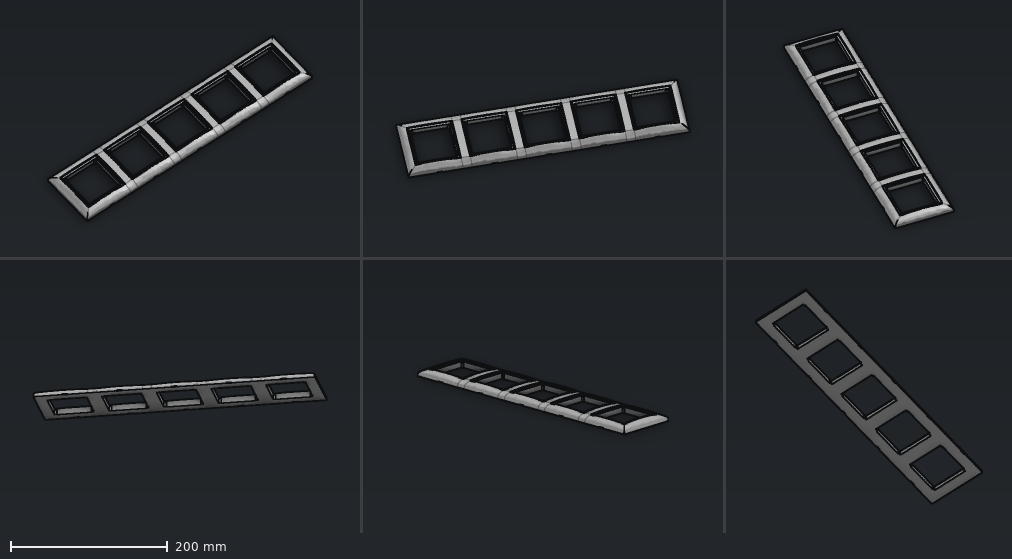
import cadquery as cq

MODULE_COUNT = 5
WIDTH = 82.0
LENGTH = 366.0
PITCH = (LENGTH - WIDTH) / (MODULE_COUNT - 1)
CORNER_RADIUS = 1.5

CORNER_HEIGHT = 9.5
CREST_HEIGHT = 10.5
LIP_CORNER_HEIGHT = 9.0
LIP_CREST_HEIGHT = 11.0
LEDGE_HEIGHT = 8.5

BRIDGE_WIDTH = 11.7
RECESS_X = 58.5
RECESS_Y = PITCH - BRIDGE_WIDTH
OPENING = 51.2
LIP_GAP = 0.7
LIP_THICKNESS = 1.0

WALL_CONTROL_HEIGHT = 3.5
SHOULDER_CONTROL_HEIGHT = 6.0
CROWN_CONTROL_SHARE = 0.4
CROWN_CONTROL_DROP = 1.0

NOTCH_WIDTH = 6.5
NOTCH_HEIGHT = 1.0
NOTCH_DEPTH = 0.7
TAB_WIDTH = 1.0
TAB_LENGTH = 3.3
TAB_HEIGHT = 6.5

HALF_WIDTH = WIDTH / 2
HALF_LENGTH = LENGTH / 2
HALF_RECESS_X = RECESS_X / 2
HALF_RECESS_Y = RECESS_Y / 2
MODULE_CENTRES = [(i - (MODULE_COUNT - 1) / 2) * PITCH for i in range(MODULE_COUNT)]
BRIDGE_CENTRES = [y + PITCH / 2 for y in MODULE_CENTRES[:-1]]


def rail_curve(outer, inner, inner_height):
    """Curve from the foot of the outer wall up to the inner edge, between two plan points."""
    outer_foot = cq.Vector(*outer)
    across = cq.Vector(*inner) - outer_foot
    share_and_height = [
        (0, 0),
        (0, WALL_CONTROL_HEIGHT),
        (0, SHOULDER_CONTROL_HEIGHT),
        (CROWN_CONTROL_SHARE, inner_height - CROWN_CONTROL_DROP),
        (1, inner_height),
    ]
    return cq.Edge.makeBezier([
        outer_foot + across * share + cq.Vector(0, 0, height) for share, height in share_and_height
    ])


def rail_section(outer, inner, inner_height):
    """Closed upright section of a rail between two plan points."""
    curve = rail_curve(outer, inner, inner_height)
    inner_foot = cq.Vector(*inner)
    return cq.Wire.assembleEdges([
        curve,
        cq.Edge.makeLine(curve.endPoint(), inner_foot),
        cq.Edge.makeLine(inner_foot, curve.startPoint()),
    ])


def rail(start, middle, end):
    """Rail through three (outer, inner) plan sections, highest at the middle one."""
    return cq.Workplane(cq.Solid.makeLoft([
        rail_section(*start, CORNER_HEIGHT),
        rail_section(*middle, CREST_HEIGHT),
        rail_section(*end, CORNER_HEIGHT),
    ]))


def side_rail(side, index):
    """Long-side rail of one module: mitred at a frame end, square against a bridge."""
    centre = MODULE_CENTRES[index]
    outer_x = side * HALF_WIDTH
    inner_x = side * HALF_RECESS_X
    start_y = centre - HALF_RECESS_Y
    end_y = centre + HALF_RECESS_Y
    outer_start_y = -HALF_LENGTH if index == 0 else start_y
    outer_end_y = HALF_LENGTH if index == MODULE_COUNT - 1 else end_y
    return rail(
        ((outer_x, outer_start_y), (inner_x, start_y)),
        ((outer_x, centre), (inner_x, centre)),
        ((outer_x, outer_end_y), (inner_x, end_y)),
    )


def end_rail(direction):
    """Rail that closes one end of the frame, mitred at both corners."""
    outer_y = direction * HALF_LENGTH
    inner_y = direction * (MODULE_CENTRES[-1] + HALF_RECESS_Y)
    return rail(
        ((-HALF_WIDTH, outer_y), (-HALF_RECESS_X, inner_y)),
        ((0, outer_y), (0, inner_y)),
        ((HALF_WIDTH, outer_y), (HALF_RECESS_X, inner_y)),
    )


def bridge(centre):
    """Bar between two windows: a rail curve at each side and a shallow arch between."""
    y = centre - BRIDGE_WIDTH / 2
    left = rail_curve((-HALF_WIDTH, y), (-HALF_RECESS_X, y), CORNER_HEIGHT)
    right = rail_curve((HALF_WIDTH, y), (HALF_RECESS_X, y), CORNER_HEIGHT)
    crest = cq.Vector(0, y, CREST_HEIGHT)
    outline = cq.Wire.assembleEdges([
        left,
        cq.Edge.makeThreePointArc(left.endPoint(), crest, right.endPoint()),
        right,
        cq.Edge.makeLine(right.startPoint(), left.startPoint()),
    ])
    return cq.Workplane(cq.Solid.extrudeLinear(outline, [], cq.Vector(0, BRIDGE_WIDTH, 0)))


def arched_lip(centre, direction):
    """Thin arched lip standing on the ledge, next to a bridge or an end rail."""
    lip_y = centre + direction * (HALF_RECESS_Y - LIP_GAP - LIP_THICKNESS / 2)
    return (
        cq.Workplane("XZ", origin=(0, lip_y, 0))
        .moveTo(-HALF_RECESS_X, 0)
        .lineTo(-HALF_RECESS_X, LIP_CORNER_HEIGHT)
        .threePointArc((0, LIP_CREST_HEIGHT), (HALF_RECESS_X, LIP_CORNER_HEIGHT))
        .lineTo(HALF_RECESS_X, 0)
        .close()
        .extrude(LIP_THICKNESS / 2, both=True)
    )


def window_ledge(centre):
    """Sunken ledge around the square opening, with small tabs low in its corners."""
    base = cq.Workplane(origin=(0, centre, 0))
    ledge = base.rect(RECESS_X, RECESS_Y).rect(OPENING, OPENING).extrude(LEDGE_HEIGHT)
    tabs = (
        base.rect(OPENING - TAB_WIDTH, OPENING - TAB_LENGTH, forConstruction=True)
        .vertices()
        .rect(TAB_WIDTH, TAB_LENGTH)
        .extrude(TAB_HEIGHT)
    )
    return ledge.union(tabs)


pieces = [end_rail(-1), end_rail(1)]
for module, module_y in enumerate(MODULE_CENTRES):
    pieces += [side_rail(-1, module), side_rail(1, module)]
    pieces += [window_ledge(module_y), arched_lip(module_y, -1), arched_lip(module_y, 1)]
pieces += [bridge(bridge_y) for bridge_y in BRIDGE_CENTRES]

frame = pieces[0]
for piece in pieces[1:]:
    frame = frame.union(piece)

envelope = (
    cq.Workplane()
    .rect(WIDTH, LENGTH)
    .extrude(LIP_CREST_HEIGHT)
    .edges("|Z")
    .fillet(CORNER_RADIUS)
)
frame = frame.intersect(envelope)

notches = (
    cq.Workplane()
    .pushPoints([(side * HALF_WIDTH, y) for side in (-1, 1) for y in MODULE_CENTRES])
    .rect(2 * NOTCH_DEPTH, NOTCH_WIDTH)
    .extrude(NOTCH_HEIGHT)
)
result = frame.cut(notches)